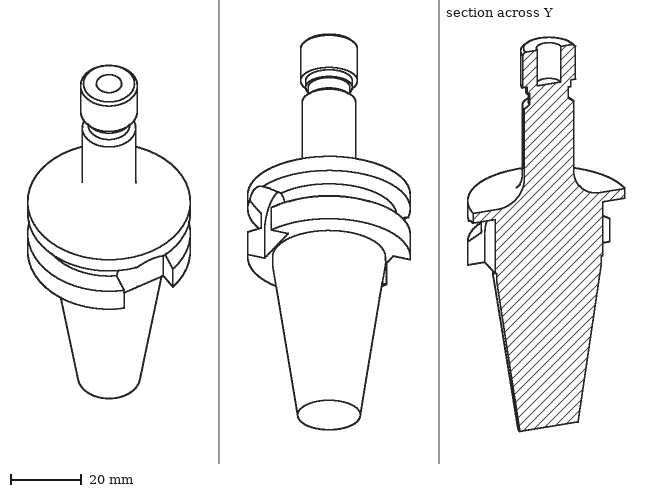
import cadquery as cq
import math

total_length = 118.4

taper_small_radius = 8.9
taper_large_radius = 16.0
taper_length = 48.5

flange_radius = 23.03
flange_bottom_z = 50.7
flange_top_z = 70.7
groove_radius = 19.2
groove_center_z = 62.0
groove_floor_width = 3.8
groove_wall_angle = 30.0

arbor_radius = 7.6
arbor_fillet = 7.9
arbor_top_z = 101.8
neck_radius = 5.9
arbor_cone_height = 1.3

collar_radius = 6.6
collar_bottom_z = 105.1
head_radius = 8.0
head_bottom_z = 107.3
head_chamfer = 0.8
bore_radius = 3.5
bore_depth = total_length - head_bottom_z

slot_width = 16.1
slot_top_z = 67.5
slot_floor_x = 16.3


def make_body():
    """Revolve the half profile about the Z axis."""
    groove_wall_height = (flange_radius - groove_radius) * math.tan(math.radians(groove_wall_angle))
    groove_floor_bottom = groove_center_z - groove_floor_width / 2
    groove_floor_top = groove_center_z + groove_floor_width / 2

    fillet_center_radius = arbor_radius + arbor_fillet
    fillet_center_z = flange_top_z + arbor_fillet
    fillet_offset = arbor_fillet * math.sqrt(0.5)
    fillet_middle = (fillet_center_radius - fillet_offset, fillet_center_z - fillet_offset)

    profile = (
        cq.Workplane("XZ")
        .lineTo(taper_small_radius, 0)
        .lineTo(taper_large_radius, taper_length)
        .lineTo(taper_large_radius, flange_bottom_z)
        .lineTo(flange_radius, flange_bottom_z)
        .lineTo(flange_radius, groove_floor_bottom - groove_wall_height)
        .lineTo(groove_radius, groove_floor_bottom)
        .lineTo(groove_radius, groove_floor_top)
        .lineTo(flange_radius, groove_floor_top + groove_wall_height)
        .lineTo(flange_radius, flange_top_z)
        .lineTo(fillet_center_radius, flange_top_z)
        .threePointArc(fillet_middle, (arbor_radius, fillet_center_z))
        .lineTo(arbor_radius, arbor_top_z - arbor_cone_height)
        .lineTo(neck_radius, arbor_top_z)
        .lineTo(neck_radius, collar_bottom_z)
        .lineTo(collar_radius, collar_bottom_z)
        .lineTo(collar_radius, head_bottom_z)
        .lineTo(head_radius, head_bottom_z)
        .lineTo(head_radius, total_length - head_chamfer)
        .lineTo(head_radius - head_chamfer, total_length)
        .lineTo(0, total_length)
        .close()
    )
    return profile.revolve(360, (0, 0, 0), (0, 1, 0))


def make_bore():
    """Blind hole in the top face of the head."""
    return (
        cq.Workplane("XY")
        .workplane(offset=total_length - bore_depth)
        .circle(bore_radius)
        .extrude(bore_depth)
    )


def make_drive_slot(side):
    """Slot cutter on the +X (side = 1) or -X (side = -1) flank of the flange."""
    half_width = slot_width / 2
    return (
        cq.Workplane("YZ")
        .workplane(offset=side * slot_floor_x)
        .moveTo(-half_width, flange_bottom_z)
        .lineTo(-half_width, slot_top_z - half_width)
        .threePointArc((0, slot_top_z), (half_width, slot_top_z - half_width))
        .lineTo(half_width, flange_bottom_z)
        .close()
        .extrude(side * (flange_radius - slot_floor_x))
    )


result = make_body().cut(make_bore())
for side in (-1, 1):
    result = result.cut(make_drive_slot(side))